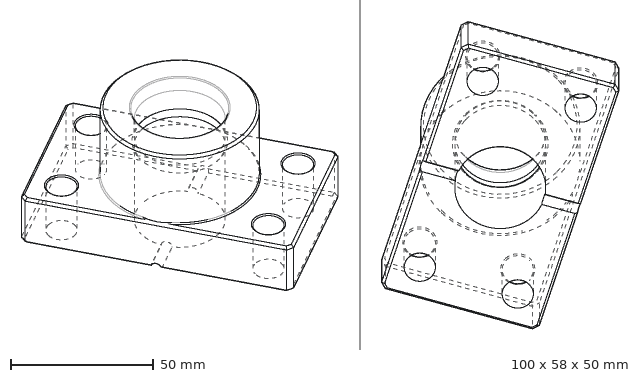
import cadquery as cq
import math

plate_length = 100.0
plate_width = 58.0
plate_height = 20.0
corner_chamfer = 2.0
edge_chamfer = 1.0

total_height = 50.0
boss_diameter = 56.0
boss_chamfer = 1.0
foot_fillet = 0.5

bore_diameter = 32.0
mouth_taper_degrees = 15.0
mouth_fillet = 0.5
mouth_depth = 5.0

ring_groove_from_top = 15.0
ring_groove_width = 3.5
ring_groove_depth = 0.8

hole_diameter = 11.0
hole_chamfer = 0.5
hole_spacing_x = 76.0
hole_spacing_y = 36.0

underside_groove_radius = 2.0


def make_plate():
    """Plate with bevelled corners and bevelled top and bottom rims."""
    block = cq.Workplane("XY").box(plate_length, plate_width, plate_height, centered=(True, True, False))
    return block.edges("|Z").chamfer(corner_chamfer).faces("<Z or >Z").edges().chamfer(edge_chamfer)


def make_boss():
    """Cylinder that starts inside the plate and has a bevelled top rim."""
    boss = cq.Workplane("XY").circle(boss_diameter / 2).extrude(total_height)
    return boss.faces(">Z").edges().chamfer(boss_chamfer)


def make_foot():
    """Concave fillet ring at the boss foot, trimmed where it meets the plate's rim bevels."""
    boss_radius = boss_diameter / 2
    foot_radius = boss_radius + foot_fillet
    foot_top = plate_height + foot_fillet
    arc_inset = foot_fillet * math.cos(math.radians(45))
    ring = (
        cq.Workplane("XZ")
        .moveTo(boss_radius - foot_fillet, plate_height - foot_fillet)
        .lineTo(foot_radius, plate_height - foot_fillet)
        .lineTo(foot_radius, plate_height)
        .threePointArc((foot_radius - arc_inset, foot_top - arc_inset), (boss_radius, foot_top))
        .lineTo(boss_radius - foot_fillet, foot_top)
        .close()
        .revolve(360, (0, 0, 0), (0, 1, 0))
    )
    rim_bottom = plate_height - edge_chamfer
    gable = (
        cq.Workplane("YZ")
        .moveTo(-plate_width / 2, rim_bottom)
        .lineTo(plate_width / 2, rim_bottom)
        .lineTo(0, rim_bottom + plate_width / 2)
        .close()
        .extrude(plate_length / 2, both=True)
    )
    return ring.intersect(gable)


def make_bore():
    """Through bore with a round ring groove and a mouth that tapers inwards from the top."""
    bore_radius = bore_diameter / 2
    mouth_radius = bore_radius + mouth_depth * math.tan(math.radians(mouth_taper_degrees))
    ring_groove_middle = total_height - ring_groove_from_top
    ring_groove_bottom = ring_groove_middle - ring_groove_width / 2
    ring_groove_top = ring_groove_middle + ring_groove_width / 2
    return (
        cq.Workplane("XZ")
        .lineTo(bore_radius, 0)
        .lineTo(bore_radius, ring_groove_bottom)
        .threePointArc((bore_radius + ring_groove_depth, ring_groove_middle), (bore_radius, ring_groove_top))
        .lineTo(bore_radius, total_height - mouth_depth)
        .lineTo(mouth_radius, total_height)
        .lineTo(0, total_height)
        .close()
        .revolve(360, (0, 0, 0), (0, 1, 0))
    )


def make_mounting_holes():
    """Four cutters for through holes with a bevelled upper rim."""
    hole_radius = hole_diameter / 2
    hole = (
        cq.Workplane("XZ")
        .lineTo(hole_radius, 0)
        .lineTo(hole_radius, plate_height - hole_chamfer)
        .lineTo(hole_radius + hole_chamfer, plate_height)
        .lineTo(0, plate_height)
        .close()
        .revolve(360, (0, 0, 0), (0, 1, 0))
        .val()
    )
    return (
        cq.Workplane("XY")
        .rect(hole_spacing_x, hole_spacing_y, forConstruction=True)
        .vertices()
        .eachpoint(lambda place: hole.moved(place), combine=False)
    )


def make_underside_groove():
    """Cylinder along Y on the underside, leaving a half-round groove."""
    return cq.Workplane("XZ").circle(underside_groove_radius).extrude(plate_width / 2, both=True)


body = make_plate().union(make_boss()).union(make_foot()).cut(make_bore())
mouth_rim = body.faces(">Z").edges(cq.selectors.RadiusNthSelector(0))
body = mouth_rim.fillet(mouth_fillet)
result = body.cut(make_mounting_holes()).cut(make_underside_groove())